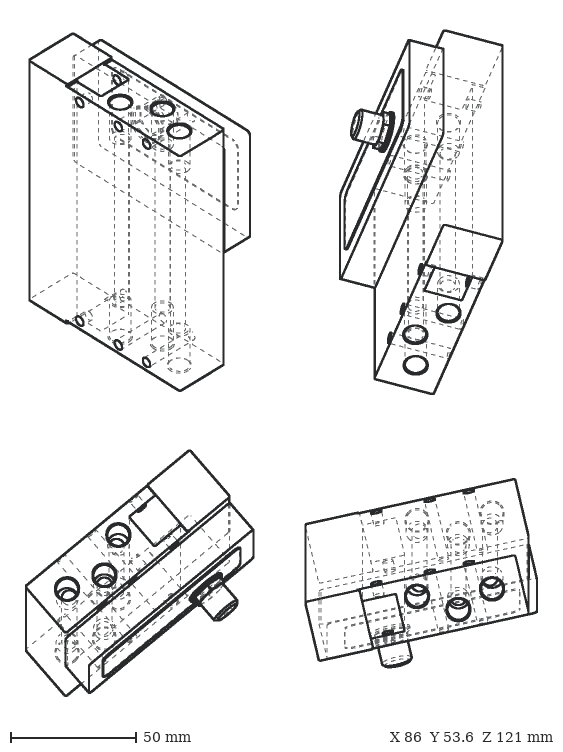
import cadquery as cq

body_width = 86.0
body_depth = 25.0
tall_height = 121.0
tall_width = 22.3
end_step = 1.2
body_edge_radius = 0.8

duct_right = 36.0
duct_front = 5.1
duct_back = 20.9
duct_corner_radius = 0.5

ports = [
    ((44.0, 8.0), (45.0, 8.0)),
    ((58.9, 17.0), (58.9, 17.0)),
    ((73.9, 11.6), (73.0, 11.9)),
]
port_diameter = 8.7
port_depth = 18.2
port_chamfer = 0.5
passage_diameter = 6.0

mount_hole_xs = (29.2, 51.1, 67.0)
mount_hole_inset = 5.3
mount_hole_diameter = 4.2

housing_depth = 14.4
housing_bottom = 56.5
housing_height = 54.1
housing_corner_radius = 2.2
plate_left = 7.3
plate_width = 71.6
plate_bottom = 66.0
plate_height = 35.1
plate_thickness = 0.5
plate_corner_radius = 3.6

connector_x = 25.7
connector_z = 80.6
washer_diameter = 16.3
washer_thickness = 1.3
washer_chamfer = 0.5
nut_across_corners = 15.0
nut_thickness = 2.5
plug_diameter = 12.2
plug_end = 53.6
plug_chamfer = 1.0

body_height = tall_height - 2 * end_step
housing_back = body_depth + housing_depth
plate_back = housing_back + plate_thickness
washer_back = plate_back + washer_thickness
nut_back = washer_back + nut_thickness


def box_between(low, high):
    """Box spanning two opposite corners."""
    sizes = [b - a for a, b in zip(low, high)]
    return cq.Workplane("XY").box(*sizes, centered=False).translate(low)


def facing_back(y, x=0, z=0):
    """Workplane at depth y facing +Y, with local x along X and local y along -Z."""
    return cq.Workplane(cq.Plane(origin=(x, y, z), xDir=(1, 0, 0), normal=(0, 1, 0)))


def make_body():
    main = box_between((0, 0, end_step), (body_width, body_depth, end_step + body_height))
    main = main.edges("|Z").fillet(body_edge_radius)
    tall = box_between((0, 0, 0), (tall_width, body_depth, tall_height))
    tall = tall.edges("|Z").fillet(body_edge_radius)
    return main.union(tall)


def make_duct():
    duct = box_between((tall_width, duct_front, 0), (duct_right, duct_back, tall_height))
    return duct.edges("|Z").fillet(duct_corner_radius)


def make_port(port_center, passage_center):
    """Passage through the full height with a chamfered counterbore at each end."""
    passage = (
        cq.Workplane("XY")
        .center(*passage_center)
        .circle(passage_diameter / 2)
        .extrude(tall_height)
    )
    radius = port_diameter / 2
    mouth_radius = radius + port_chamfer
    profile = [
        (0, 0),
        (mouth_radius, 0),
        (radius, port_chamfer),
        (radius, port_depth),
        (0, port_depth),
    ]
    bore = cq.Workplane("XZ").polyline(profile).close().revolve(360, (0, 0), (0, 1))
    bottom_bore = bore.translate((*port_center, end_step))
    top_bore = bore.mirror("XY").translate((*port_center, end_step + body_height))
    return passage.union(bottom_bore).union(top_bore)


def make_mount_holes():
    heights = (mount_hole_inset, tall_height - mount_hole_inset)
    centers = [(x, -z) for x in mount_hole_xs for z in heights]
    return facing_back(0).pushPoints(centers).circle(mount_hole_diameter / 2).extrude(body_depth)


def make_housing():
    housing = box_between(
        (0, body_depth, housing_bottom),
        (body_width, housing_back, housing_bottom + housing_height),
    )
    housing = housing.edges("|Y").fillet(housing_corner_radius)
    plate = box_between(
        (plate_left, housing_back, plate_bottom),
        (plate_left + plate_width, plate_back, plate_bottom + plate_height),
    )
    return housing.union(plate.edges("|Y").fillet(plate_corner_radius))


def make_connector():
    washer = facing_back(plate_back, connector_x, connector_z)
    washer = washer.circle(washer_diameter / 2).extrude(washer_thickness)
    washer = washer.faces(">Y").chamfer(washer_chamfer)
    nut = facing_back(washer_back, connector_x, connector_z)
    nut = nut.transformed(rotate=(0, 0, 90)).polygon(6, nut_across_corners).extrude(nut_thickness)
    plug = facing_back(nut_back, connector_x, connector_z)
    plug = plug.circle(plug_diameter / 2).extrude(plug_end - nut_back)
    plug = plug.faces(">Y").chamfer(plug_chamfer)
    return washer.union(nut).union(plug)


result = make_body().cut(make_duct()).cut(make_mount_holes())
for port_center, passage_center in ports:
    result = result.cut(make_port(port_center, passage_center))
result = result.union(make_housing()).union(make_connector())